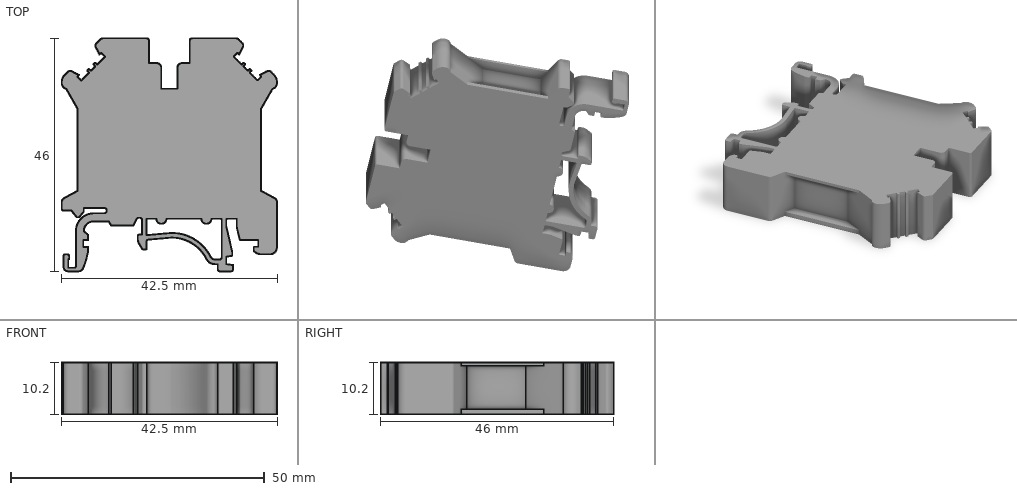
import cadquery as cq
import math


total_height = 46.0
half_width = 21.25
thickness = 10.2

waist_half = 18.12
waist_top = 32.1
waist_bottom = 15.9
shoulder_y = 35.95
shoulder_half = 20.35
base_y = 10.4
foot_shoulder_y = 14.2
foot_corner_radius = 0.9

slot_half = 4.0
slot_step_y = 41.12
slot_floor_half = 1.55
slot_floor_y = 36.05
slot_edge_radius = 0.45
slot_step_radius = 0.95

notch_x = 15.05
notch_y = 40.0
notch_half = 3.3
lip_half = 2.85
lip_depth = 1.05
tip_half = 3.5
tip_depth = 3.1
tip_radius = 0.6
side_tip_radius = 2.1
side_tip_low_y = 36.3
side_tip_low_radius = 1.3
rib_offset = 0.87
rib_width = 0.5
rib_height = 0.55

recess_half = 16.1
recess_depth = waist_half - recess_half
upper_flare_slope = (shoulder_y - waist_top) / (shoulder_half - waist_half)
lower_flare_slope = (waist_bottom - foot_shoulder_y) / (half_width - waist_half)
recess_top = waist_top - recess_depth * upper_flare_slope
recess_bottom = waist_bottom + recess_depth * lower_flare_slope
cover_bottom = 0.95
cover_top = 0.6

left_foot_y = 12.0
left_foot_radius = 0.35
tooth_left = -19.3
tooth_tip_x = -18.05
tooth_tip_half = 0.25
tooth_tip_y = 10.65
tooth_right = -16.85
tooth_side_y = 11.8
gap_top = 12.5
gap_bottom = 11.5
gap_end = -12.37
gap_end_radius = 0.45
spring_left = -18.45
spring_radius = 3.55
spring_root_y = 9.85
spring_inner_x = -16.85
spring_inner_radius = 1.85
catch_x = -16.0
catch_top = 7.2
catch_slope_top = 7.95
catch_groove_x = -16.97
catch_groove_top = 6.15
catch_groove_bottom = 4.88
catch_taper_y = 3.85
hook_left = -20.9
hook_wall_right = -19.9
hook_bead_right = -19.75
hook_bead_y = 2.45
hook_top = 3.4
hook_floor = 0.8
hook_bottom_right = -17.3
catch_curve_x = -16.55
catch_curve_y = 1.55
catch_curve_radius = 9.2
hook_corner_radius = 0.95
hook_heel_radius = 1.0
hook_bead_radius = 0.35
hook_floor_radius = 0.25

block_y = 9.05
block_left_top = -11.95
block_left = -11.5
block_right = -7.1
relief_left = -6.3
relief_top = 10.6
relief_radius = 0.35

post_left = -5.45
post_right = -4.45
post_bulge_x = -6.25
post_bulge_top = 7.3
post_bulge_low = 5.95
post_tip_x = -5.3
post_tip_y = 4.32
post_tip_right_radius = 0.25
post_tip_left_radius = 0.45
post_bulge_radius = 0.35
post_bulge_low_radius = 1.85
web_left = 10.3
web_right = 11.25
web_taper_top = 8.85
web_taper_x = 12.4
web_taper_bottom = 3.85
web_groove_top = 2.9
web_groove_bottom = 1.45
web_lip_top = 3.1
web_lip_bottom = 1.3
web_heel_left = 9.5
web_heel_right = 12.6
heel_radius = 0.45
arch_x = 0.45
arch_y = -1.0
arch_radius = 7.7
arch_thickness = 0.95
arch_tail_slope = 0.09
arch_tail_y = arch_y + arch_radius - arch_tail_slope * (arch_x - post_right)
sweep_radius = 0.87
sweep_floor = 2.4
window_corner_radius = 0.35
inner_corner_radius = 0.2
tail_corner_radius = 0.28
bump_radius = 1.0
bump_centres = (-1.55, 7.3)

rail_gap_right = 13.25
rail_gap_low_x = 13.9
rail_gap_radius = 0.28
rail_seat_y = 6.15
rail_seat_right = 17.53
jaw_top = 4.9
jaw_tip_x = 16.6
jaw_tip_y = 4.05
jaw_bottom = 3.35
jaw_bottom_left = 17.5
jaw_corner_radius = 1.45
jaw_tip_radius = 0.28
jaw_bottom_radius = 2.02


def rounded_outline(corners):
    """Closed outline from (x, y) sharp or (x, y, radius) rounded corners.

    A sharp corner gives one point; a rounded one gives the start, middle and end of its arc.
    """
    segments = []
    count = len(corners)
    for i, corner in enumerate(corners):
        point = cq.Vector(corner[0], corner[1])
        if len(corner) == 2:
            segments.append((point,))
            continue
        before = cq.Vector(*corners[i - 1][:2])
        after = cq.Vector(*corners[(i + 1) % count][:2])
        to_before = (before - point).normalized()
        to_after = (after - point).normalized()
        half_angle = to_before.getAngle(to_after) / 2
        radius = corner[2]
        setback = radius / math.tan(half_angle)
        bulge = radius / math.sin(half_angle) - radius
        middle = point + (to_before + to_after).normalized() * bulge
        segments.append((point + to_before * setback, middle, point + to_after * setback))
    outline = cq.Workplane("XY").moveTo(*segments[0][-1].toTuple()[:2])
    for segment in segments[1:] + segments[:1]:
        outline = outline.lineTo(*segment[0].toTuple()[:2])
        if len(segment) == 3:
            outline = outline.threePointArc(segment[1].toTuple()[:2], segment[2].toTuple()[:2])
    return outline.close()


def plate(corners):
    return rounded_outline(corners).extrude(thickness)


def on_notch(along, outward):
    """Point given along the notch floor (down and right) and outward from it."""
    x = notch_x + (along + outward) / math.sqrt(2)
    y = notch_y + (outward - along) / math.sqrt(2)
    return (x, y)


def half_housing():
    """Right half of the housing with its notch; the left half mirrors it."""
    outer_face_sum = sum(on_notch(0, tip_depth))
    body = plate([
        (0, waist_bottom),
        (0, slot_floor_y),
        (slot_floor_half, slot_floor_y),
        (slot_floor_half, slot_step_y, slot_step_radius),
        (slot_half, slot_step_y),
        (slot_half, total_height, slot_edge_radius),
        (outer_face_sum - total_height, total_height, tip_radius),
        (*on_notch(-tip_half, tip_depth), tip_radius),
        on_notch(-lip_half, lip_depth),
        on_notch(-notch_half, lip_depth),
        on_notch(-notch_half, 0),
        on_notch(notch_half, 0),
        on_notch(notch_half, lip_depth),
        on_notch(lip_half, lip_depth),
        (*on_notch(tip_half, tip_depth), tip_radius),
        (half_width, outer_face_sum - half_width, side_tip_radius),
        (half_width, side_tip_low_y, side_tip_low_radius),
        (shoulder_half, shoulder_y),
        (waist_half, waist_top),
        (waist_half, waist_bottom),
    ])
    for centre in (-rib_offset, rib_offset):
        left = centre - rib_width / 2
        right = centre + rib_width / 2
        body = body.union(plate([
            on_notch(left, -rib_height),
            on_notch(left, rib_height),
            on_notch(right, rib_height),
            on_notch(right, -rib_height),
        ]))
    return body


def side_recess():
    """Right recess; its sloped ends carry on the flares of the housing."""
    return (
        cq.Workplane("XY", origin=(0, 0, cover_bottom))
        .polyline([
            (recess_half, recess_bottom),
            (recess_half, recess_top),
            (waist_half, waist_top),
            (half_width, waist_top),
            (half_width, foot_shoulder_y),
            (waist_half, waist_bottom),
        ])
        .close()
        .extrude(thickness - cover_bottom - cover_top)
    )


def left_foot_and_hook():
    """Left foot, the hook sprung off it and the block beside the left post."""
    return plate([
        (0, waist_bottom),
        (-waist_half, waist_bottom),
        (-half_width, foot_shoulder_y, foot_corner_radius),
        (-half_width, left_foot_y, left_foot_radius),
        (tooth_left, left_foot_y),
        (tooth_tip_x - tooth_tip_half, tooth_tip_y),
        (tooth_tip_x + tooth_tip_half, tooth_tip_y),
        (tooth_right, tooth_side_y),
        (tooth_right, gap_top),
        (gap_end, gap_top, gap_end_radius),
        (gap_end, gap_bottom, gap_end_radius),
        (spring_left, gap_bottom, spring_radius),
        (spring_left, hook_floor, hook_floor_radius),
        (hook_wall_right, hook_floor),
        (hook_wall_right, hook_bead_y),
        (hook_bead_right, hook_bead_y),
        (hook_bead_right, hook_top, hook_bead_radius),
        (hook_left, hook_top, hook_bead_radius),
        (hook_left, 0, hook_corner_radius),
        (hook_bottom_right, 0, hook_heel_radius),
        (catch_curve_x, catch_curve_y, catch_curve_radius),
        (catch_x, catch_taper_y),
        (catch_x, catch_groove_bottom),
        (catch_groove_x, catch_groove_bottom),
        (catch_groove_x, catch_groove_top),
        (catch_x, catch_groove_top),
        (catch_x, catch_top),
        (spring_inner_x, catch_slope_top),
        (spring_inner_x, spring_root_y, spring_inner_radius),
        (block_left_top, spring_root_y),
        (block_left, block_y),
        (block_right, block_y),
        (relief_left, relief_top, relief_radius),
        (post_left, relief_top, relief_radius),
        (post_left, post_bulge_top),
        (post_right, post_bulge_top),
        (post_right, base_y),
        (0, base_y),
    ])


def right_foot():
    """Right foot with the fixed jaw that hooks under the rail."""
    return plate([
        (0, waist_bottom),
        (0, base_y),
        (rail_gap_right, base_y),
        (rail_gap_right, web_taper_top),
        (rail_gap_low_x, rail_seat_y, rail_gap_radius),
        (rail_seat_right, rail_seat_y),
        (rail_seat_right, jaw_top),
        (jaw_tip_x, jaw_top, jaw_tip_radius),
        (jaw_tip_x, jaw_tip_y, jaw_tip_radius),
        (jaw_bottom_left, jaw_bottom, jaw_bottom_radius),
        (half_width, jaw_bottom, jaw_corner_radius),
        (half_width, foot_shoulder_y, foot_corner_radius),
        (waist_half, waist_bottom),
    ])


def web_posts():
    """Rounded end of the left post, and the right post with its groove."""
    left_post = plate([
        (post_left, post_bulge_top),
        (post_bulge_x, post_bulge_top, post_bulge_radius),
        (post_bulge_x, post_bulge_low, post_bulge_low_radius),
        (post_tip_x, post_tip_y, post_tip_left_radius),
        (post_right, post_tip_y, post_tip_right_radius),
        (post_right, post_bulge_top),
    ])
    right_post = plate([
        (web_left, base_y),
        (web_left, sweep_floor - arch_thickness),
        (web_heel_left, sweep_floor - arch_thickness),
        (web_heel_left, 0, heel_radius),
        (web_heel_right, 0, heel_radius),
        (web_heel_right, web_lip_bottom),
        (web_right, web_groove_bottom),
        (web_right, web_groove_top),
        (web_taper_x, web_lip_top),
        (web_taper_x, web_taper_bottom),
        (web_right, web_taper_top),
        (web_right, base_y),
    ])
    return left_post.union(right_post)


def arch():
    """Strip of even thickness: straight tail, round arch, then a reverse bend."""
    outer_radius = arch_radius + arch_thickness
    lower_sweep_radius = sweep_radius + arch_thickness
    sweep_y = sweep_floor + sweep_radius
    sweep_x = arch_x + math.sqrt((outer_radius + sweep_radius) ** 2 - (sweep_y - arch_y) ** 2)
    tail_angle = math.pi / 2
    bend_angle = math.atan2(sweep_y - arch_y, sweep_x - arch_x)
    middle_angle = (tail_angle + bend_angle) / 2
    sweep_start_angle = bend_angle + math.pi
    sweep_floor_angle = 3 * math.pi / 2
    sweep_middle_angle = (sweep_start_angle + sweep_floor_angle) / 2

    def arch_point(radius, angle):
        return (arch_x + radius * math.cos(angle), arch_y + radius * math.sin(angle))

    def sweep_point(radius, angle):
        return (sweep_x + radius * math.cos(angle), sweep_y + radius * math.sin(angle))

    return (
        cq.Workplane("XY")
        .moveTo(post_right, arch_tail_y)
        .lineTo(*arch_point(arch_radius, tail_angle))
        .threePointArc(arch_point(arch_radius, middle_angle), arch_point(arch_radius, bend_angle))
        .threePointArc(
            sweep_point(lower_sweep_radius, sweep_middle_angle),
            (sweep_x, sweep_floor - arch_thickness),
        )
        .lineTo(web_left, sweep_floor - arch_thickness)
        .lineTo(web_left, sweep_floor)
        .lineTo(sweep_x, sweep_floor)
        .threePointArc(
            sweep_point(sweep_radius, sweep_middle_angle),
            sweep_point(sweep_radius, sweep_start_angle),
        )
        .threePointArc(arch_point(outer_radius, middle_angle), arch_point(outer_radius, tail_angle))
        .lineTo(post_right, arch_tail_y + arch_thickness)
        .close()
        .extrude(thickness)
    )


def rail_bumps():
    return (
        cq.Workplane("XY")
        .pushPoints([(x, base_y) for x in bump_centres])
        .circle(bump_radius)
        .extrude(thickness)
    )


def round_corner(solid, x, y, radius):
    """Fillet the edge along Z nearest to (x, y)."""
    nearest = cq.selectors.NearestToPointSelector((x, y, thickness / 2))
    return solid.edges("|Z").edges(nearest).fillet(radius)


right_half = half_housing()
housing = right_half.union(right_half.mirror("YZ"))
for part in (left_foot_and_hook(), right_foot(), web_posts(), arch(), rail_bumps()):
    housing = housing.union(part)
housing = housing.clean()

housing = round_corner(housing, web_left, sweep_floor, window_corner_radius)
housing = round_corner(housing, web_left, base_y, inner_corner_radius)
housing = round_corner(housing, web_right, base_y, inner_corner_radius)
housing = round_corner(housing, post_right, arch_tail_y, tail_corner_radius)

recess = side_recess()
result = housing.cut(recess).cut(recess.mirror("YZ"))